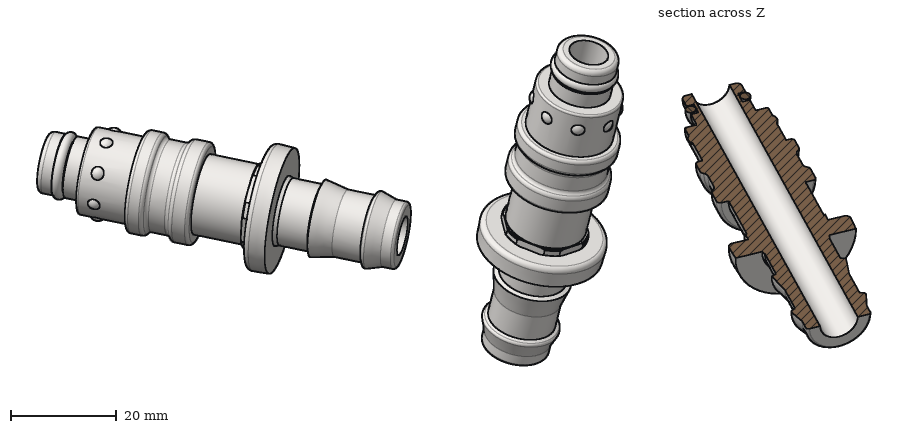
import cadquery as cq
import math

length = 70.3
x_nose = -length / 2
bore_radius = 7.5 / 2

nose_radius = 11.95 / 2
nose_round = 1.0
groove_floor_radius = 9.0 / 2
groove_start = 3.0
groove_end = 5.35

ring_outer_radius = 13.1 / 2
ring_section_radius = (ring_outer_radius - groove_floor_radius) / 2
ring_center = groove_start + ring_section_radius

sleeve_start = 8.5
sleeve_radius = 16.95 / 2
sleeve_round = 0.4
bump_count = 8
bump_station = 12.1
bump_tip_radius = 18.0 / 2
bump_base_radius = 1.2

collar_start = 18.4
collar_end = 31.0
collar_radius = 20.0 / 2
collar_round = 0.7
waist_radius = 18.0 / 2
waist_start = 22.9
waist_end = 26.1
waist_blend = 1.7

shank_radius = 15.6 / 2
hex_start = 40.85
hex_across_flats = 15.95
hex_corner_radius = 16.95 / 2
hex_corner_chamfer = 0.2
flange_start = 42.4
flange_end = 46.7
flange_radius = 24.6 / 2
flange_round = 1.05
flange_rear_radius = 12.15

bump_clocking = 2.6
hex_clocking = 9.3

stem_radius = 13.1 / 2
stem_foot_radius = 6.8
stem_foot_length = 0.85
barb_radius = 7.5
barb_1_start = 53.4
barb_1_peak = 53.8
barb_1_end = 58.3
barb_2_start = 63.8
barb_2_shoulder = 64.1
barb_2_shoulder_radius = 7.2
barb_2_peak = 64.75
barb_2_end = 67.8
tip_round = 0.55


def round_corner(profile, x, radius, size):
    """Quarter round rising from a face at x up to a cylinder."""
    inset = size * (1 - math.sqrt(0.5))
    return profile.lineTo(x, radius - size).threePointArc(
        (x + inset, radius - inset), (x + size, radius)
    )


def turned_blank():
    p = cq.Workplane("XY").moveTo(0, bore_radius)
    p = round_corner(p, 0, nose_radius, nose_round)
    p = p.lineTo(groove_start, nose_radius).lineTo(groove_start, groove_floor_radius)
    p = p.lineTo(groove_end, groove_floor_radius).lineTo(groove_end, nose_radius)
    p = p.lineTo(sleeve_start, nose_radius)
    p = round_corner(p, sleeve_start, sleeve_radius, sleeve_round)
    p = p.lineTo(collar_start, sleeve_radius)
    p = round_corner(p, collar_start, collar_radius, collar_round)

    mid_radius = (collar_radius + waist_radius) / 2
    p = p.lineTo(waist_start - waist_blend, collar_radius)
    p = p.tangentArcPoint((waist_start - waist_blend / 2, mid_radius), relative=False)
    p = p.tangentArcPoint((waist_start, waist_radius), relative=False)
    p = p.lineTo(waist_end, waist_radius)
    p = p.tangentArcPoint((waist_end + waist_blend / 2, mid_radius), relative=False)
    p = p.tangentArcPoint((waist_end + waist_blend, collar_radius), relative=False)
    p = p.lineTo(collar_end - collar_round, collar_radius)
    p = p.tangentArcPoint((collar_end, collar_radius - collar_round), relative=False)

    p = p.lineTo(collar_end, shank_radius).lineTo(flange_start, shank_radius)
    p = round_corner(p, flange_start, flange_radius, flange_round)
    p = p.lineTo(flange_end, flange_rear_radius).lineTo(flange_end, stem_foot_radius)
    p = p.lineTo(flange_end + stem_foot_length, stem_radius)

    p = p.lineTo(barb_1_start, stem_radius).lineTo(barb_1_peak, barb_radius)
    p = p.lineTo(barb_1_end, stem_radius).lineTo(barb_2_start, stem_radius)
    p = p.lineTo(barb_2_shoulder, barb_2_shoulder_radius)
    p = p.tangentArcPoint((barb_2_peak, barb_radius), relative=False)
    p = p.lineTo(barb_2_end, stem_radius)
    p = p.lineTo(length - tip_round, stem_radius)
    p = p.tangentArcPoint((length, stem_radius - tip_round), relative=False)
    p = p.lineTo(length, bore_radius).close()
    return p.revolve(360, (0, 0, 0), (1, 0, 0))


def bump():
    """Ball whose cap stands proud of the sleeve at the top (+Z)."""
    rise = bump_tip_radius - sleeve_radius
    ball_radius = (bump_base_radius**2 + rise**2) / (2 * rise)
    ball_center = bump_tip_radius - ball_radius
    return cq.Workplane("XY").sphere(ball_radius).translate((bump_station, 0, ball_center))


def hex_key():
    """Hexagon with its corners turned down, one corner at the top before clocking."""
    key_length = flange_start - hex_start
    across_corners = hex_across_flats / math.cos(math.pi / 6)
    hexagon = cq.Workplane("YZ").polygon(6, across_corners).extrude(key_length)
    hexagon = hexagon.rotate((0, 0, 0), (1, 0, 0), 90 - hex_clocking)
    corner_limit = cq.Workplane("YZ").circle(hex_corner_radius).extrude(key_length)
    corner_limit = corner_limit.edges().chamfer(hex_corner_chamfer)
    bore = cq.Workplane("YZ").circle(bore_radius).extrude(key_length)
    return hexagon.intersect(corner_limit).cut(bore).translate((hex_start, 0, 0))


def make_coupling():
    body = turned_blank().union(hex_key())
    for i in range(bump_count):
        angle = i * 360 / bump_count - bump_clocking
        body = body.union(bump().rotate((0, 0, 0), (1, 0, 0), angle))
    return body.translate((x_nose, 0, 0))


def make_o_ring():
    center_radius = groove_floor_radius + ring_section_radius
    section = cq.Workplane("XY").center(ring_center, center_radius).circle(ring_section_radius)
    ring = section.revolve(360, (0, -center_radius, 0), (1, -center_radius, 0))
    return ring.translate((x_nose, 0, 0))


coupling = make_coupling()
o_ring = make_o_ring()
result = cq.Compound.makeCompound([coupling.val(), o_ring.val()])